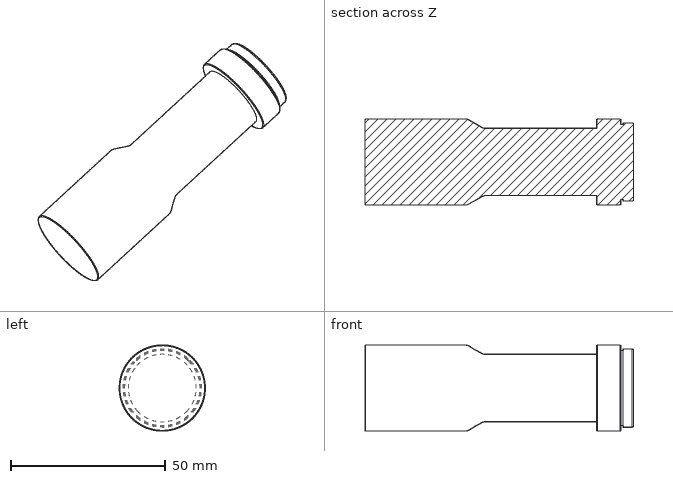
import cadquery as cq
import math

total_length = 87.1
taper_start = 33.2
collar_start = 75.1
collar_end = 82.9
flange_start = 83.7

body_radius = 28.0 / 2
neck_radius = 11.0
groove_radius = 12.2
flange_radius = 12.7

taper_angle = math.radians(30)
taper_blend = 2.0
edge_chamfer = 0.3
flange_chamfer_length = 0.5
flange_chamfer_depth = 0.3

taper_end = taper_start + (body_radius - neck_radius) / math.tan(taper_angle)


def cylinder(start, end, radius):
    """Solid cylinder on the X axis between two axial positions."""
    return cq.Workplane("YZ", origin=(start, 0, 0)).circle(radius).extrude(end - start)


def tapered_handle():
    """Handle, cone and neck, with both cone corners blended."""
    outline = (
        cq.Workplane("XY")
        .polyline([
            (0, 0),
            (0, body_radius),
            (taper_start, body_radius),
            (taper_end, neck_radius),
            (collar_start, neck_radius),
            (collar_start, 0),
        ])
        .close()
    )
    handle = outline.revolve(360, (0, 0, 0), (1, 0, 0))
    for corner in (taper_start, taper_end):
        edge = cq.selectors.NearestToPointSelector((corner, 0, 0))
        handle = handle.edges("%CIRCLE").edges(edge).fillet(taper_blend)
    return handle.faces("<X").chamfer(edge_chamfer)


def end_flange():
    """Thin flange with a shallow chamfer on its outer end."""
    return (
        cq.Workplane("XY")
        .polyline([
            (flange_start, 0),
            (flange_start, flange_radius),
            (total_length - flange_chamfer_length, flange_radius),
            (total_length, flange_radius - flange_chamfer_depth),
            (total_length, 0),
        ])
        .close()
        .revolve(360, (0, 0, 0), (1, 0, 0))
    )


collar = cylinder(collar_start, collar_end, body_radius).edges("%CIRCLE").chamfer(edge_chamfer)
groove = cylinder(collar_end, flange_start, groove_radius)

result = tapered_handle().union(collar).union(groove).union(end_flange())